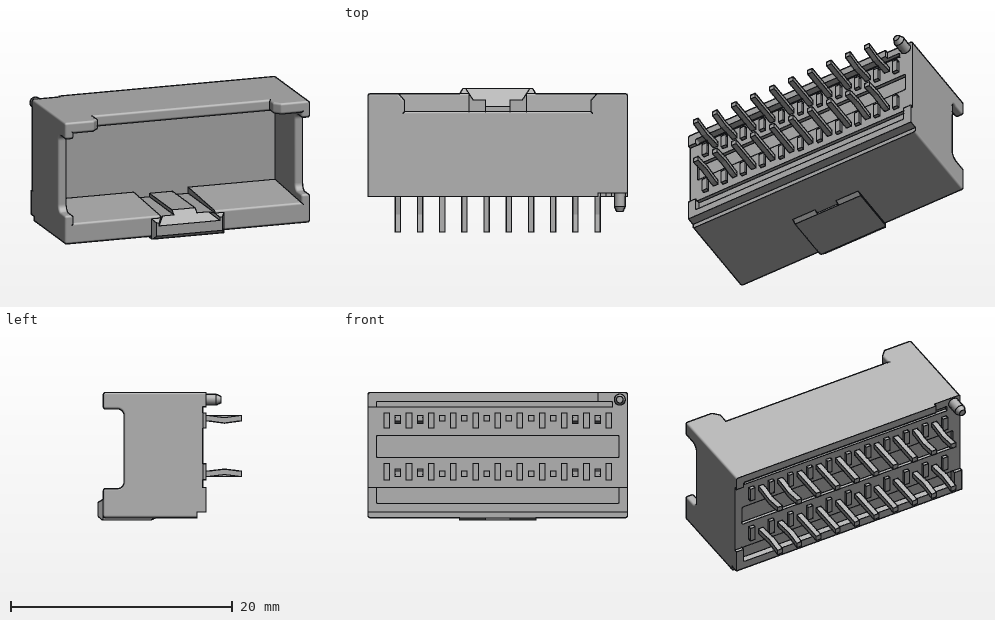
import cadquery as cq

LENGTH = 23.4
DEPTH = 9.27
HEIGHT = 11.3
HALF_LENGTH = LENGTH / 2
EDGE_RADIUS = 0.2
TOL = 0.001

FACE_Y = 0.3
UPPER_RIDGE_Z = 10.0
LOWER_RIDGE_Z = 2.73
HEEL_HEIGHT = 0.5
HEEL_DEPTH = 0.8
CORNER_RELIEF_X = 9.04

POCKET_FLOOR_Y = 0.6
POCKET_HALF_LENGTH = 10.95
POCKET_CORNER_RADIUS = 0.15
MIDDLE_POCKET_Z = (5.43, 7.43)
LOWER_POCKET_BOTTOM_Z = 1.3
UPPER_SLOT_TOP_Z = 10.5
UPPER_SLOT_END_X = 10.35

CAVITY_FLOOR_Y = 2.0
CAVITY_HALF_LENGTH = 10.9
CAVITY_TOP_Z = 10.3
CAVITY_MOUTH_Z = 1.88
CAVITY_FLOOR_Z = 2.26

WINDOW_BOTTOM_Z = 2.63
WINDOW_TOP_Z = 9.8
WINDOW_FLOOR_Y = 7.4
WINDOW_CORNER_RADIUS = 0.6
CUTOUT_FLOOR_Y = 7.66
CUTOUT_HALF_LENGTH = 8.39
CUTOUT_FLARE_HALF_LENGTH = 8.95
CUTOUT_FLARE_Y = 8.65

LUG_BACK_Y = 9.75
LUG_HALF_WIDTH = 3.45
LUG_TIP_HALF_WIDTH = 3.14
LUG_TOP_Z = 1.68
LUG_TIP_Z = 1.38
LUG_CHAMFER_TOP_Z = 0.15
LUG_CHAMFER_Y = 9.38
LUG_DROP = 0.2
LUG_FOOT_Y = 4.94
LUG_RUNOUT_Y = 4.5
KEYWAY_HALF_WIDTH = 2.6
KEYWAY_FLOOR_Z = 1.69
KEY_HALF_WIDTH = 1.1
KEY_START_Y = 8.1
RAMP_START_Y = 8.68
RAMP_START_HALF_WIDTH = 2.2
RAMP_TIP_HALF_WIDTH = 2.9
RAMP_SLOPE = 0.56

PITCH = 2.0
CONTACTS_PER_ROW = 10
PIN_SIZE = 0.5
PIN_TIP_Y = -3.2
UPPER_ROW_Z = 8.97
LOWER_ROW_Z = 3.97
KINKED_PER_END = 2
KINK_START_Y = -0.17
KINK_PEAK_Y = -1.66
KINK_END_Y = -3.12
UPPER_KINK = -0.2
LOWER_KINK = 0.18
RIB_WIDTH = 0.5
UPPER_RIB_Z = (8.08, 9.45)
LOWER_RIB_Z = (3.42, 4.88)

PEG_X = 11.0
PEG_Z = 10.65
PEG_DIAMETER = 1.0
PEG_TIP_DIAMETER = 0.6
PEG_SHOULDER_Y = -0.9
PEG_TIP_Y = -1.35


def block(x_range, y_range, z_range):
    """Axis-aligned box spanning the given ranges."""
    size = [high - low for low, high in (x_range, y_range, z_range)]
    corner = (x_range[0], y_range[0], z_range[0])
    return cq.Workplane("XY").box(*size, centered=False).translate(corner)


def side_prism(points, half_width):
    """Prism with a YZ outline, symmetric about X = 0."""
    return cq.Workplane("YZ").polyline(points).close().extrude(half_width, both=True)


def plan_prism(points, z_low, z_high):
    """Vertical prism with an XY outline."""
    return cq.Workplane("XY", origin=(0, 0, z_low)).polyline(points).close().extrude(z_high - z_low)


def mirrored(points):
    """Outline made of the given +X points and their mirror images in X = 0."""
    return points + [(-x, y) for x, y in reversed(points)]


def make_shell():
    shell = block((-HALF_LENGTH, HALF_LENGTH), (0, DEPTH), (0, HEIGHT))
    cavity = side_prism(
        [
            (CAVITY_FLOOR_Y, CAVITY_FLOOR_Z),
            (DEPTH, CAVITY_MOUTH_Z),
            (DEPTH, CAVITY_TOP_Z),
            (CAVITY_FLOOR_Y, CAVITY_TOP_Z),
        ],
        CAVITY_HALF_LENGTH,
    )
    window = block((-LENGTH, LENGTH), (WINDOW_FLOOR_Y, LENGTH), (WINDOW_BOTTOM_Z, WINDOW_TOP_Z))
    window = window.edges("|X and <Y").fillet(WINDOW_CORNER_RADIUS)
    cutout = plan_prism(
        mirrored(
            [
                (CUTOUT_HALF_LENGTH, CUTOUT_FLOOR_Y),
                (CUTOUT_HALF_LENGTH, CUTOUT_FLARE_Y),
                (CUTOUT_FLARE_HALF_LENGTH, DEPTH),
            ]
        ),
        CAVITY_TOP_Z,
        HEIGHT,
    )
    shell = shell.cut(cavity).cut(window).cut(cutout)
    return round_rim_edges(shell)


def is_rim_edge(edge):
    """True for the edges to be rounded: not on the solder face, not inside the
    cavity, and not the upright corners at the floor of the upper cutout."""
    box = edge.BoundingBox()
    on_solder_face = box.ymax < TOL
    inside_cavity = abs(box.ymin - CAVITY_FLOOR_Y) < TOL
    at_cutout_floor = abs(box.ymin - CUTOUT_FLOOR_Y) < TOL
    cutout_corner = at_cutout_floor and box.xlen < TOL and box.ylen < TOL
    return not (on_solder_face or inside_cavity or cutout_corner)


def round_rim_edges(shell):
    edges = [edge for edge in shell.edges().vals() if is_rim_edge(edge)]
    return shell.newObject(edges).fillet(EDGE_RADIUS)


def face_pocket(x_range, z_range):
    """Pocket tool for the solder face, rounded at its corners."""
    return block(x_range, (0, POCKET_FLOOR_Y), z_range).edges("|Y").fillet(POCKET_CORNER_RADIUS)


def shape_solder_face(body):
    full = (-LENGTH, LENGTH)
    pocket_x = (-POCKET_HALF_LENGTH, POCKET_HALF_LENGTH)
    body = body.cut(block(full, (0, FACE_Y), (LOWER_RIDGE_Z, UPPER_RIDGE_Z)))
    body = body.cut(block((CORNER_RELIEF_X, LENGTH), (0, FACE_Y), (UPPER_RIDGE_Z, HEIGHT)))
    body = body.cut(block(full, (0, HEEL_DEPTH), (0, HEEL_HEIGHT)))
    body = body.cut(face_pocket(pocket_x, MIDDLE_POCKET_Z))
    lower_pocket = block(pocket_x, (0, POCKET_FLOOR_Y), (LOWER_POCKET_BOTTOM_Z, LOWER_RIDGE_Z))
    body = body.cut(lower_pocket.edges("|Y and <Z").fillet(POCKET_CORNER_RADIUS))
    upper_slot = block(
        (-POCKET_HALF_LENGTH, UPPER_SLOT_END_X), (0, POCKET_FLOOR_Y), (UPPER_RIDGE_Z, UPPER_SLOT_TOP_Z)
    )
    return body.cut(upper_slot.edges("|Y and >Z").fillet(POCKET_CORNER_RADIUS))


def add_latch_lug(body):
    lug = side_prism(
        [
            (LUG_RUNOUT_Y, LUG_TOP_Z),
            (DEPTH, LUG_TOP_Z),
            (LUG_BACK_Y, LUG_TIP_Z),
            (LUG_BACK_Y, LUG_CHAMFER_TOP_Z),
            (LUG_CHAMFER_Y, -LUG_DROP),
            (LUG_FOOT_Y, -LUG_DROP),
            (LUG_RUNOUT_Y, 0),
        ],
        LUG_HALF_WIDTH,
    )
    lug_plan = mirrored([(LUG_HALF_WIDTH, 0), (LUG_HALF_WIDTH, DEPTH), (LUG_TIP_HALF_WIDTH, LUG_BACK_Y)])
    lug = lug.intersect(plan_prism(lug_plan, -LUG_DROP, LUG_TOP_Z))
    lug = lug.cut(block((-KEY_HALF_WIDTH, KEY_HALF_WIDTH), (0, LUG_FOOT_Y), (-LUG_DROP, 0)))
    body = body.union(lug)

    keyway = (-KEYWAY_HALF_WIDTH, KEYWAY_HALF_WIDTH)
    body = body.cut(block(keyway, (CAVITY_FLOOR_Y, LUG_BACK_Y), (KEYWAY_FLOOR_Z, CAVITY_FLOOR_Z)))
    key_top_z = KEYWAY_FLOOR_Z + RAMP_SLOPE * (RAMP_START_Y - KEY_START_Y)
    key = side_prism(
        [
            (CAVITY_FLOOR_Y, KEYWAY_FLOOR_Z),
            (RAMP_START_Y, KEYWAY_FLOOR_Z),
            (KEY_START_Y, key_top_z),
            (CAVITY_FLOOR_Y, key_top_z),
        ],
        KEY_HALF_WIDTH,
    )
    ramp = side_prism(
        [
            (RAMP_START_Y, KEYWAY_FLOOR_Z),
            (LUG_BACK_Y, KEYWAY_FLOOR_Z - RAMP_SLOPE * (LUG_BACK_Y - RAMP_START_Y)),
            (LUG_BACK_Y, KEYWAY_FLOOR_Z),
        ],
        RAMP_TIP_HALF_WIDTH,
    )
    ramp_plan = mirrored([(RAMP_START_HALF_WIDTH, RAMP_START_Y), (RAMP_TIP_HALF_WIDTH, LUG_BACK_Y)])
    ramp = ramp.intersect(plan_prism(ramp_plan, 0, KEYWAY_FLOOR_Z))
    return body.cut(ramp).union(key)


def make_contact(x, z, kink):
    """Square solder pin that leaves the row by the height of its kink and returns to it."""
    centre_line = [
        (FACE_Y, 0),
        (KINK_START_Y, 0),
        (KINK_PEAK_Y, kink),
        (KINK_END_Y, 0),
        (PIN_TIP_Y, 0),
    ]
    half = PIN_SIZE / 2
    upper = [(y, z + shift + half) for y, shift in centre_line]
    lower = [(y, z + shift - half) for y, shift in reversed(centre_line)]
    return side_prism(upper + lower, half).translate((x, 0, 0))


def add_contacts(body):
    for index in range(CONTACTS_PER_ROW):
        x = (index - (CONTACTS_PER_ROW - 1) / 2) * PITCH
        kinked = index < KINKED_PER_END or index >= CONTACTS_PER_ROW - KINKED_PER_END
        for row_z, kink in ((UPPER_ROW_Z, UPPER_KINK), (LOWER_ROW_Z, LOWER_KINK)):
            body = body.union(make_contact(x, row_z, kink if kinked else 0))
    return body


def add_ribs(body):
    for index in range(CONTACTS_PER_ROW + 1):
        x = (index - CONTACTS_PER_ROW / 2) * PITCH
        for z_range in (UPPER_RIB_Z, LOWER_RIB_Z):
            body = body.union(block((x - RIB_WIDTH / 2, x + RIB_WIDTH / 2), (0, FACE_Y), z_range))
    return body


def add_peg(body):
    radius = PEG_DIAMETER / 2
    tip_radius = PEG_TIP_DIAMETER / 2
    outline = [
        (0, FACE_Y),
        (radius, FACE_Y),
        (radius, PEG_SHOULDER_Y),
        (tip_radius, PEG_TIP_Y),
        (0, PEG_TIP_Y),
    ]
    peg = cq.Workplane("XY").polyline(outline).close().revolve(360, (0, 0, 0), (0, 1, 0))
    return body.union(peg.translate((PEG_X, 0, PEG_Z)))


housing = add_latch_lug(shape_solder_face(make_shell()))
result = add_peg(add_ribs(add_contacts(housing)))